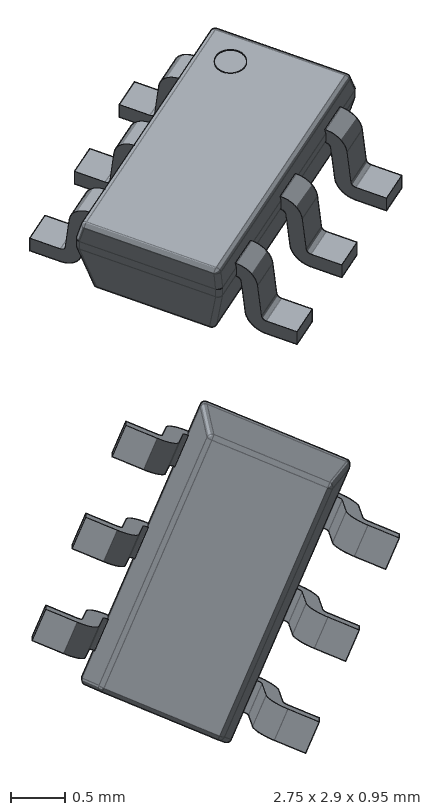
import cadquery as cq
import math

BODY_WIDTH = 1.5
BODY_LENGTH = 2.9
BODY_BOTTOM = 0.05
BELT_BOTTOM = 0.65
BELT_TOP = 0.75
BODY_TOP = 0.95
DRAFT_ANGLE = math.radians(12)
EDGE_RADIUS = 0.05

MARK_DIAMETER = 0.3
MARK_DEPTH = 0.01
MARK_X = -0.365
MARK_Y = 1.065

LEAD_SPAN = 2.75
LEAD_WIDTH = 0.325
LEAD_THICKNESS = 0.17
LEAD_TOP = 0.8
LEAD_PITCH = 0.95
LEADS_PER_SIDE = 3
LEAD_EMBED = 0.2
LEG_LEAN = math.radians(6)
INNER_BEND = 0.05
OUTER_BEND = INNER_BEND + LEAD_THICKNESS
SHOULDER_BEND_X = BODY_WIDTH / 2


def drafted_half(z_wide, z_narrow):
    """Drafted half of the body, from the full belt outline to the inset end face."""
    inset = 2 * abs(z_narrow - z_wide) * math.tan(DRAFT_ANGLE)
    return (
        cq.Workplane("XY", origin=(0, 0, z_wide))
        .rect(BODY_WIDTH, BODY_LENGTH)
        .workplane(offset=z_narrow - z_wide)
        .rect(BODY_WIDTH - inset, BODY_LENGTH - inset)
        .loft(ruled=True)
    )


def make_body():
    belt = (
        cq.Workplane("XY", origin=(0, 0, BELT_BOTTOM))
        .rect(BODY_WIDTH, BODY_LENGTH)
        .extrude(BELT_TOP - BELT_BOTTOM)
    )
    body = belt.union(drafted_half(BELT_TOP, BODY_TOP)).union(drafted_half(BELT_BOTTOM, BODY_BOTTOM))
    standing_corners = body.edges("not(#Z)")
    rims = body.faces("<Z or >Z").edges()
    return body.newObject(standing_corners.vals() + rims.vals()).fillet(EDGE_RADIUS)


def cut_pin_one_mark(body):
    mark = (
        cq.Workplane("XY", origin=(MARK_X, MARK_Y, BODY_TOP - MARK_DEPTH))
        .circle(MARK_DIAMETER / 2)
        .extrude(MARK_DEPTH)
    )
    return body.cut(mark)


def on_bend(centre, radius, angle):
    """Point in the XZ plane on a bend, with the angle measured from +X."""
    return (centre[0] + radius * math.cos(angle), centre[1] + radius * math.sin(angle))


def make_lead():
    """Lead on the +X side, centred on Y = 0."""
    shoulder = (SHOULDER_BEND_X, LEAD_TOP - OUTER_BEND)
    bend_rise = shoulder[1] - OUTER_BEND
    bend_sum = INNER_BEND + OUTER_BEND
    leg_length = (bend_rise + bend_sum * math.sin(LEG_LEAN)) / math.cos(LEG_LEAN)
    bend_run = bend_sum * math.cos(LEG_LEAN) + leg_length * math.sin(LEG_LEAN)
    foot = (shoulder[0] + bend_run, OUTER_BEND)

    root_x = BODY_WIDTH / 2 - LEAD_EMBED
    toe_x = LEAD_SPAN / 2
    up = math.pi / 2
    shoulder_middle = (LEG_LEAN + up) / 2
    foot_end = LEG_LEAN + math.pi
    foot_middle = shoulder_middle + math.pi
    down = up + math.pi

    profile = (
        cq.Workplane("XZ")
        .moveTo(root_x, LEAD_TOP)
        .lineTo(*on_bend(shoulder, OUTER_BEND, up))
        .threePointArc(on_bend(shoulder, OUTER_BEND, shoulder_middle), on_bend(shoulder, OUTER_BEND, LEG_LEAN))
        .lineTo(*on_bend(foot, INNER_BEND, foot_end))
        .threePointArc(on_bend(foot, INNER_BEND, foot_middle), on_bend(foot, INNER_BEND, down))
        .lineTo(toe_x, LEAD_THICKNESS)
        .lineTo(toe_x, 0)
        .lineTo(*on_bend(foot, OUTER_BEND, down))
        .threePointArc(on_bend(foot, OUTER_BEND, foot_middle), on_bend(foot, OUTER_BEND, foot_end))
        .lineTo(*on_bend(shoulder, INNER_BEND, LEG_LEAN))
        .threePointArc(on_bend(shoulder, INNER_BEND, shoulder_middle), on_bend(shoulder, INNER_BEND, up))
        .lineTo(root_x, LEAD_TOP - LEAD_THICKNESS)
        .close()
    )
    return profile.extrude(LEAD_WIDTH / 2, both=True)


def add_leads(body):
    right_lead = make_lead()
    left_lead = right_lead.mirror("YZ")
    first_y = -LEAD_PITCH * (LEADS_PER_SIDE - 1) / 2
    for index in range(LEADS_PER_SIDE):
        y = first_y + index * LEAD_PITCH
        body = body.union(right_lead.translate((0, y, 0)))
        body = body.union(left_lead.translate((0, y, 0)))
    return body


result = add_leads(cut_pin_one_mark(make_body()))